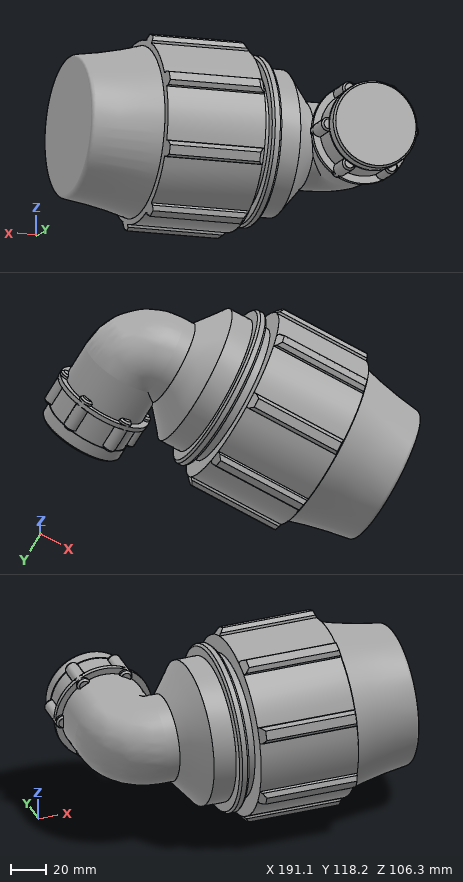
import cadquery as cq
import math


pipe_radius = 50.6 / 2
bend_radius = 15.5
branch_end = 65.0
branch_chamfer = 1.1

neck_end = 22.7
cone_end = 37.0
barrel_radius = 84.7 / 2
flange_radius = 98.2 / 2
flange_start = 50.5
flange_width = 5.7
flange_chamfer = 1.3

nut_start = 61.7
nut_end = 121.4
nut_bevel_length = 2.0
nut_bevel_radius = 50.0
nut_radius = 52.5
skirt_start_radius = 49.3
skirt_mid_radius = 44.3
skirt_end_radius = 41.0
body_end = 161.9
skirt_fillet = 2.3

nut_rib_count = 8
nut_rib_top = 56.4
nut_rib_shoulder = 53.9
nut_rib_width = 9.4
nut_rib_crest_width = 5.5
nut_rib_front_ramp = 3.2
nut_rib_embed = 2.0

waist_radius = 24.8
waist_start = 40.3
waist_end = 56.8
ring_radius = 58.3 / 2
ring_width = 2.7
pin_count = 6
pin_radius = 4.0
pin_reach = 29.2
pin_start = 35.2
pin_end = 56.4
pin_chamfer = 1.1


def make_bend():
    """Quarter turn of the pipe; its section is cut off at the axis of the bend."""
    half_chord = math.sqrt(pipe_radius**2 - bend_radius**2)
    section = (
        cq.Workplane("XZ", origin=(0, bend_radius, 0))
        .moveTo(bend_radius, -half_chord)
        .threePointArc((-pipe_radius, 0), (bend_radius, half_chord))
        .close()
    )
    return section.revolve(90, (bend_radius, -2, 0), (bend_radius, 2, 0))


def make_body():
    """Neck, cone, barrel, nut and curved skirt as one turned profile about X."""
    return (
        cq.Workplane("XY")
        .moveTo(bend_radius, 0)
        .lineTo(bend_radius, pipe_radius)
        .lineTo(neck_end, pipe_radius)
        .lineTo(cone_end, barrel_radius)
        .lineTo(nut_start, barrel_radius)
        .lineTo(nut_start, nut_radius)
        .lineTo(nut_end, nut_radius)
        .lineTo(nut_end, skirt_start_radius)
        .threePointArc(((nut_end + body_end) / 2, skirt_mid_radius), (body_end, skirt_end_radius))
        .lineTo(body_end, 0)
        .close()
        .revolve(360, (0, 0, 0), (1, 0, 0))
        .faces(">X")
        .edges()
        .fillet(skirt_fillet)
    )


def make_flange():
    return (
        cq.Workplane("YZ", origin=(flange_start, 0, 0))
        .circle(flange_radius)
        .extrude(flange_width)
        .faces("<X or >X")
        .chamfer(flange_chamfer)
    )


def make_nut_rib():
    """Rib along X with upright flanks, bevelled shoulders and a sloping front end."""
    root = nut_radius - nut_rib_embed
    half_width = nut_rib_width / 2
    half_crest = nut_rib_crest_width / 2
    section = (
        cq.Workplane("YZ", origin=(nut_start, 0, 0))
        .polyline([
            (-half_width, root),
            (half_width, root),
            (half_width, nut_rib_shoulder),
            (half_crest, nut_rib_top),
            (-half_crest, nut_rib_top),
            (-half_width, nut_rib_shoulder),
        ])
        .close()
        .extrude(nut_end - nut_start)
    )
    side = (
        cq.Workplane("XZ")
        .polyline([
            (nut_start, root),
            (nut_start, nut_radius),
            (nut_start + nut_rib_front_ramp, nut_rib_top),
            (nut_end, nut_rib_top),
            (nut_end, root),
        ])
        .close()
        .extrude(nut_rib_width, both=True)
    )
    return section.intersect(side)


def make_nut_bevel():
    """Conical ring to remove from the back corner of the nut and its ribs."""
    return (
        cq.Workplane("XY")
        .moveTo(nut_end, nut_bevel_radius)
        .lineTo(nut_end - nut_bevel_length, nut_rib_top)
        .lineTo(nut_end, nut_rib_top + nut_bevel_length)
        .close()
        .revolve(360, (0, 0, 0), (1, 0, 0))
    )


def make_branch():
    """Branch pipe with its waist and ring, turned about Y."""
    return (
        cq.Workplane("XY")
        .moveTo(0, bend_radius)
        .lineTo(pipe_radius, bend_radius)
        .lineTo(pipe_radius, waist_start - ring_width)
        .lineTo(ring_radius, waist_start - ring_width)
        .lineTo(ring_radius, waist_start)
        .lineTo(waist_radius, waist_start)
        .lineTo(waist_radius, waist_end)
        .lineTo(pipe_radius, waist_end)
        .lineTo(pipe_radius, branch_end)
        .lineTo(0, branch_end)
        .close()
        .revolve(360, (0, 0, 0), (0, 1, 0))
        .faces(">Y")
        .edges()
        .chamfer(branch_chamfer)
    )


def make_pin():
    """Round grip pin parallel to the branch."""
    return (
        cq.Workplane("XZ", origin=(pin_reach - pin_radius, pin_start, 0))
        .circle(pin_radius)
        .extrude(pin_start - pin_end)
        .faces("<Y or >Y")
        .chamfer(pin_chamfer)
    )


result = make_bend().union(make_body()).union(make_flange()).union(make_branch())

nut_rib = make_nut_rib()
nut_rib_pitch = 360 / nut_rib_count
for index in range(nut_rib_count):
    angle = (index + 0.5) * nut_rib_pitch
    result = result.union(nut_rib.rotate((0, 0, 0), (1, 0, 0), angle))

result = result.cut(make_nut_bevel())

pin = make_pin()
for index in range(pin_count):
    result = result.union(pin.rotate((0, 0, 0), (0, 1, 0), index * 360 / pin_count))